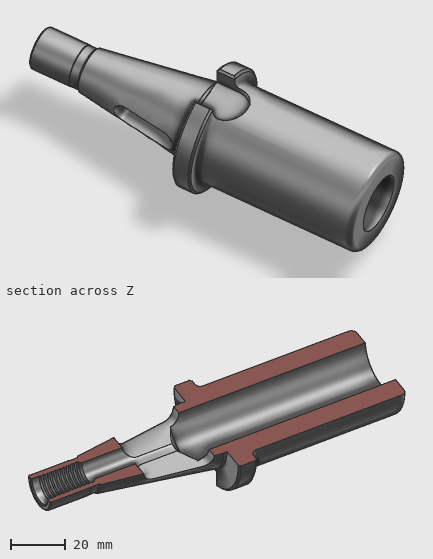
import cadquery as cq
import math

length = 143.4
relief_start = 16.9
relief_end = 20.5
taper_start = 21.2
taper_end = 68.7
flange_start = 70.1
flange_end = 77.9

nose_radius = 8.5
relief_radius = 8.3
taper_rate = 7 / 24
taper_end_radius = 15.9
taper_start_radius = taper_end_radius - (taper_end - taper_start) * taper_rate / 2
recess_radius = 15.8
flange_radius = 25.1
body_radius = 20.1

nose_chamfer = 0.6
flange_chamfer = 0.9
body_round = 2.3
neck_fillet = 2.2

notch_width = 16.0
notch_floor = 16.0
notch_end = 87.6
notch_edge_chamfer = 1.1

slot_start = 37.7
slot_end = 65.0
slot_height = 8.7

socket_radius = 11.3
socket_end = 61.0
drill_point_angle = 118
socket_tip = socket_end - socket_radius / math.tan(math.radians(drill_point_angle / 2))

mouth_radius = 6.6
thread_major_radius = 6.2
thread_minor_radius = 5.7
thread_start = 3.5
thread_pitch = 1.7
thread_turns = 10
core_radius = 4.9


def revolve_about_x(profile):
    return profile.close().revolve(360, (0, 0, 0), (1, 0, 0))


def outer_body():
    """Turned outside shape, still solid inside."""
    bulge = 1 - math.sqrt(0.5)
    profile = (
        cq.Workplane("XY")
        .moveTo(0, 0)
        .lineTo(0, nose_radius - nose_chamfer)
        .lineTo(nose_chamfer, nose_radius)
        .lineTo(relief_start, nose_radius)
        .lineTo(relief_start + nose_radius - relief_radius, relief_radius)
        .lineTo(relief_end, relief_radius)
        .lineTo(taper_start, taper_start_radius)
        .lineTo(taper_end, taper_end_radius)
        .lineTo(taper_end, recess_radius)
        .lineTo(flange_start, recess_radius)
        .lineTo(flange_start, flange_radius - flange_chamfer)
        .lineTo(flange_start + flange_chamfer, flange_radius)
        .lineTo(flange_end - flange_chamfer, flange_radius)
        .lineTo(flange_end, flange_radius - flange_chamfer)
        .lineTo(flange_end, body_radius + neck_fillet)
        .threePointArc(
            (flange_end + neck_fillet * bulge, body_radius + neck_fillet * bulge),
            (flange_end + neck_fillet, body_radius),
        )
        .lineTo(length - body_round, body_radius)
        .threePointArc(
            (length - body_round * bulge, body_radius - body_round * bulge),
            (length, body_radius - body_round),
        )
        .lineTo(length, 0)
    )
    return revolve_about_x(profile)


def drive_notch():
    """Upper notch: a channel with a full-round end and chamfered flange corners."""
    half_width = notch_width / 2
    edge_height = math.sqrt(flange_radius**2 - half_width**2)
    chamfer_base = edge_height - notch_edge_chamfer
    channel = (
        cq.Workplane("XY", origin=(0, 0, notch_floor))
        .moveTo(flange_start, -half_width)
        .lineTo(notch_end - half_width, -half_width)
        .threePointArc((notch_end, 0), (notch_end - half_width, half_width))
        .lineTo(flange_start, half_width)
        .close()
        .extrude(flange_radius - notch_floor)
    )
    cutter_leg = 2 * notch_edge_chamfer
    for side in (-1, 1):
        edge = side * half_width
        corner_cutter = (
            cq.Workplane("YZ", origin=(flange_start, 0, 0))
            .moveTo(edge, chamfer_base)
            .lineTo(edge + side * cutter_leg, chamfer_base + cutter_leg)
            .lineTo(edge, chamfer_base + cutter_leg)
            .close()
            .extrude(flange_end - flange_start)
        )
        channel = channel.union(corner_cutter)
    return channel


def cross_slot():
    """Round-ended slot passing through both walls of the taper."""
    return (
        cq.Workplane("XZ")
        .center((slot_start + slot_end) / 2, 0)
        .slot2D(slot_end - slot_start, slot_height)
        .extrude(2 * flange_radius, both=True)
    )


def socket():
    """Socket bore with a conical drill point at its inner end."""
    profile = (
        cq.Workplane("XY")
        .moveTo(socket_tip, 0)
        .lineTo(socket_end, socket_radius)
        .lineTo(length, socket_radius)
        .lineTo(length, 0)
    )
    return revolve_about_x(profile)


def threaded_hole():
    """Nose hole with ring grooves standing in for the thread turns."""
    profile = (
        cq.Workplane("XY")
        .moveTo(0, 0)
        .lineTo(0, mouth_radius)
        .lineTo(mouth_radius - thread_major_radius, thread_major_radius)
    )
    for turn in range(thread_turns):
        root = thread_start + turn * thread_pitch
        profile = profile.lineTo(root, thread_major_radius)
        profile = profile.lineTo(root + thread_pitch / 2, thread_minor_radius)
    thread_end = thread_start + thread_turns * thread_pitch
    profile = profile.lineTo(thread_end, core_radius)
    profile = profile.lineTo(socket_end, core_radius)
    profile = profile.lineTo(socket_end, 0)
    return revolve_about_x(profile)


notch = drive_notch()
result = (
    outer_body()
    .cut(notch)
    .cut(notch.rotate((0, 0, 0), (1, 0, 0), 180))
    .cut(socket())
    .cut(threaded_hole())
    .cut(cross_slot())
)